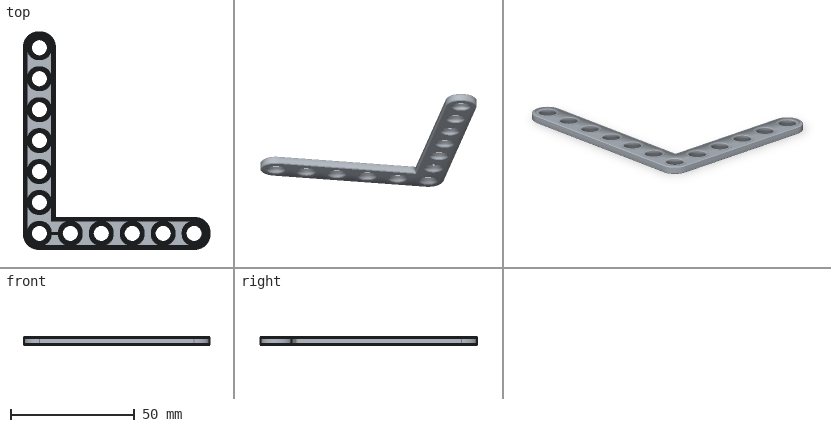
import cadquery as cq

PITCH = 12.5
X_ARM_HOLES = 6
Y_ARM_HOLES = 7
WIDTH = PITCH
THICKNESS = PITCH / 4
EDGE_CHAMFER = 0.3

HOLE_DIAMETER = 7.0
HOLE_CHAMFER = 0.3
LAND_DIAMETER = 9.2

RIM_WIDTH = 1.1
FIELD_DEPTH = 0.2

RIDGE_WIDTH = 0.35
RIDGE_HEIGHT = 0.15

X_ARM_LENGTH = (X_ARM_HOLES - 1) * PITCH
Y_ARM_LENGTH = (Y_ARM_HOLES - 1) * PITCH
FIELD_FLOOR = THICKNESS - FIELD_DEPTH

x_arm_centres = [(i * PITCH, 0) for i in range(X_ARM_HOLES)]
y_arm_centres = [(0, i * PITCH) for i in range(1, Y_ARM_HOLES)]
hole_centres = x_arm_centres + y_arm_centres


def round_ended_arm(length, width, height):
    """Bar along +X with semicircular ends centred on the origin and (length, 0)."""
    middle = cq.Workplane("XY").center(length / 2, 0)
    return middle.slot2D(length + width, width).extrude(height)


def angle_strip(width, height):
    """L-shaped strip with its corner hole at the origin and its base on Z = 0."""
    x_arm = round_ended_arm(X_ARM_LENGTH, width, height)
    y_arm = round_ended_arm(Y_ARM_LENGTH, width, height).rotate((0, 0, 0), (0, 0, 1), 90)
    return x_arm.union(y_arm).clean()


def lands():
    """One disc at every hole centre, as high as the field is deep."""
    return cq.Workplane("XY").pushPoints(hole_centres).circle(LAND_DIAMETER / 2).extrude(FIELD_DEPTH)


def ridge():
    """Triangular ridge along +X from the corner hole to the next, its base on Z = 0."""
    section = [(-RIDGE_WIDTH / 2, 0), (RIDGE_WIDTH / 2, 0), (0, RIDGE_HEIGHT)]
    return cq.Workplane("YZ").polyline(section).close().extrude(PITCH)


def sunken_field():
    """Volume removed from the top face around the lands and the ridge."""
    field = angle_strip(WIDTH - 2 * RIM_WIDTH, FIELD_DEPTH)
    field = field.cut(lands()).cut(ridge())
    return field.translate((0, 0, FIELD_FLOOR))


def hole_cutter():
    """Through holes chamfered at both ends, as one revolved profile per hole."""
    radius = HOLE_DIAMETER / 2
    mouth_radius = radius + HOLE_CHAMFER
    half_profile = [
        (0, 0),
        (mouth_radius, 0),
        (radius, HOLE_CHAMFER),
        (radius, THICKNESS - HOLE_CHAMFER),
        (mouth_radius, THICKNESS),
        (0, THICKNESS),
    ]
    cutter = cq.Workplane("XZ").polyline(half_profile).close().revolve(360, (0, 0), (0, 1)).val()
    return cq.Workplane("XY").pushPoints(hole_centres).eachpoint(lambda place: cutter.moved(place))


result = angle_strip(WIDTH, THICKNESS)
result = result.faces("<Z or >Z").edges().chamfer(EDGE_CHAMFER)
result = result.cut(sunken_field()).cut(hole_cutter())